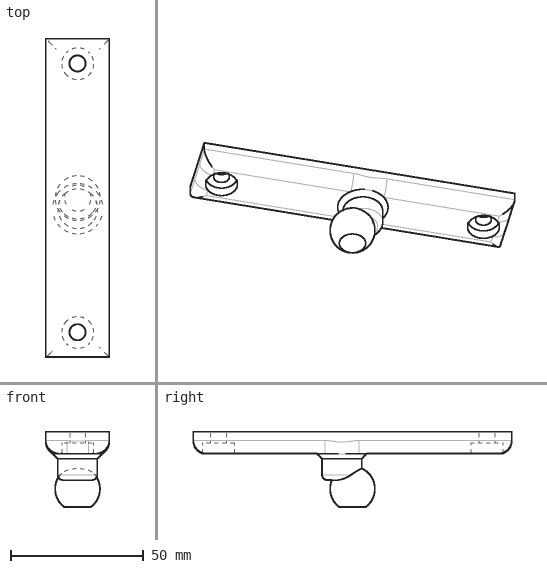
import cadquery as cq
import math

BAR_WIDTH = 24.0
BAR_LENGTH = 120.0
BAR_THICKNESS = 8.3
EDGE_RADIUS = 5.0

HOLE_DIAMETER = 6.0
HOLE_SPACING = 101.2
COUNTERBORE_DIAMETER = 12.0
COUNTERBORE_DEPTH = 4.0

NECK_DIAMETER = 15.0
NECK_LENGTH = 10.0
NECK_Y = -4.0
FLARE_SIZE = 2.0
NECK_END_RADIUS = 2.0

BALL_RADIUS = 8.5
BALL_CENTRE_Z = -21.6
TOTAL_HEIGHT = 28.5

STATIONS_PER_HALF = 4

BAR_BOTTOM = -BAR_THICKNESS
NECK_RADIUS = NECK_DIAMETER / 2
FLARE_RADIUS = NECK_RADIUS + FLARE_SIZE
COUNTERBORE_RADIUS = COUNTERBORE_DIAMETER / 2
HOLE_Y = HOLE_SPACING / 2


def corner_section(along, edge, reach, height):
    """Material outside the rounding in the plane X = along, for a side face at Y = edge.

    The arc leaves the side face tangentially at `height` above the bar bottom
    and meets the bottom face at Y = reach.
    """
    return (
        cq.Workplane("YZ", origin=(along, 0, BAR_BOTTOM))
        .moveTo(edge, height)
        .threePointArc(arc_middle(edge, reach, height), (reach, 0))
        .lineTo(edge, 0)
        .close()
    )


def arc_middle(edge, reach, height):
    """Midpoint of the arc that leaves (edge, height) straight down and ends at (reach, 0)."""
    run = edge - reach
    radius = (run**2 + height**2) / (2 * run)
    half_angle = math.atan2(run, height)
    return (edge - radius * (1 - math.cos(half_angle)), height - radius * math.sin(half_angle))


def straight_corner(start, end, edge):
    """Material outside a plain rounding from X = start to X = end."""
    section = corner_section(start, edge, edge - EDGE_RADIUS, EDGE_RADIUS)
    return section.extrude(end - start)


def relieved_corner(centre, half_span, edge, circle_radius, circle_offset):
    """Material outside a rounding that rests on the rim of a circle in the bottom face.

    The circle's centre lies `circle_offset` inboard of the line where a plain rounding would end.
    """
    plain_reach = edge - EDGE_RADIUS
    wires = []
    for step in range(-STATIONS_PER_HALF, STATIONS_PER_HALF + 1):
        shift = half_span * step / STATIONS_PER_HALF
        overlap = circle_radius - math.hypot(circle_offset, shift)
        height = math.sqrt(EDGE_RADIUS**2 - overlap**2)
        rim = math.sqrt(circle_radius**2 - shift**2)
        section = corner_section(centre + shift, edge, plain_reach - circle_offset + rim, height)
        wires.append(section.val())
    return cq.Workplane(obj=cq.Solid.makeLoft(wires))


def edge_cutters(length, edge, circle_radius, circle_along, circle_across):
    """Cutters along X that round the bottom edge at Y = edge and leave the circle's rim intact."""
    circle_offset = edge - EDGE_RADIUS - circle_across
    half_span = math.sqrt(circle_radius**2 - circle_offset**2)
    relief_start = circle_along - half_span
    relief_end = circle_along + half_span
    return [
        straight_corner(-length / 2, relief_start, edge),
        relieved_corner(circle_along, half_span, edge, circle_radius, circle_offset),
        straight_corner(relief_end, length / 2, edge),
    ]


def make_bar():
    """Bar with rounded bottom edges; end edges clear the counterbores, long edges clear the flare."""
    bar = cq.Workplane("XY").box(BAR_WIDTH, BAR_LENGTH, BAR_THICKNESS, centered=(True, True, False))
    bar = bar.translate((0, 0, BAR_BOTTOM))
    end_cutters = edge_cutters(BAR_WIDTH, BAR_LENGTH / 2, COUNTERBORE_RADIUS, 0, HOLE_Y)
    for turn in (0, 180):
        for cutter in end_cutters:
            bar = bar.cut(cutter.rotate((0, 0, 0), (0, 0, 1), turn))
    for turn, side in ((90, 1), (-90, -1)):
        for cutter in edge_cutters(BAR_LENGTH, BAR_WIDTH / 2, FLARE_RADIUS, side * NECK_Y, 0):
            bar = bar.cut(cutter.rotate((0, 0, 0), (0, 0, 1), turn))
    return bar


def drill_holes(bar):
    centres = [(0, -HOLE_Y), (0, HOLE_Y)]
    holes = cq.Workplane("XY").pushPoints(centres).circle(HOLE_DIAMETER / 2).extrude(BAR_BOTTOM)
    bores = cq.Workplane("XY", origin=(0, 0, BAR_BOTTOM)).pushPoints(centres)
    return bar.cut(holes).cut(bores.circle(COUNTERBORE_RADIUS).extrude(COUNTERBORE_DEPTH))


def make_neck():
    neck = cq.Workplane("XY", origin=(0, NECK_Y, BAR_BOTTOM)).circle(NECK_RADIUS).extrude(-NECK_LENGTH)
    neck = neck.faces("<Z").edges().fillet(NECK_END_RADIUS)
    flare = cq.Solid.makeCone(
        FLARE_RADIUS, NECK_RADIUS, FLARE_SIZE, cq.Vector(0, NECK_Y, BAR_BOTTOM), cq.Vector(0, 0, -1)
    )
    return neck.union(cq.Workplane(obj=flare))


def make_ball():
    ball = cq.Workplane("XY").sphere(BALL_RADIUS).translate((0, 0, BALL_CENTRE_Z))
    below = cq.Workplane("XY", origin=(0, 0, -TOTAL_HEIGHT)).circle(BALL_RADIUS).extrude(-BALL_RADIUS)
    return ball.cut(below)


result = drill_holes(make_bar()).union(make_neck()).union(make_ball())